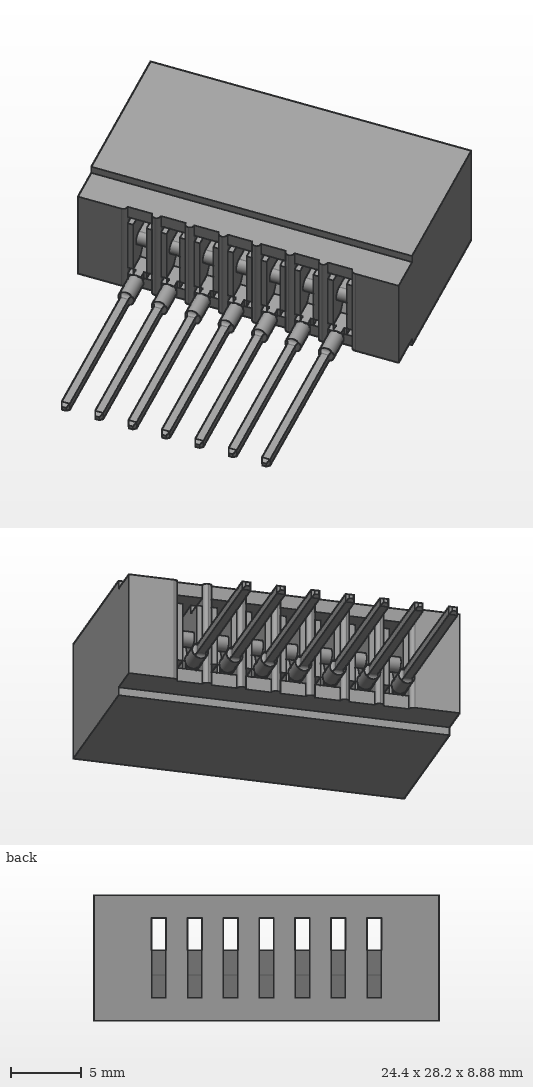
import cadquery as cq
import math


CONTACT_COUNT = 7
PITCH = 2.55
TAIL_Z = -2.5

WIDTH = 24.38
HEIGHT = 8.88
BODY_DEPTH = 11.4
NOSE_DEPTH = 2.57
NOSE_HEIGHT = 7.67
HOUSING_DEPTH = BODY_DEPTH + NOSE_DEPTH

RIB_RADIUS = 0.35
GROOVE_WIDTH = PITCH - 2 * RIB_RADIUS

CAVITY_WIDTH = 1.01
CAVITY_HEIGHT = 5.65
NOTCH_HEIGHT = 0.62
NOTCH_DEPTH = 1.4

TOTAL_DEPTH = 28.2
TAIL_SIZE = 0.62
TIP_LENGTH = 0.35
TIP_TAPER_DEG = 25
TAIL_END = HOUSING_DEPTH - TOTAL_DEPTH
TIP_START = TAIL_END + TIP_LENGTH

COLLAR_RADIUS = 0.6
COLLAR_CENTER_Y = -1.38
COLLAR_LENGTH = 1.85
FLARE_LENGTH = 0.35
FLARE_MIDDLE = 0.3

SPRING_THICKNESS = 0.28
RISE_Y = 1.7
BEND_Y = 2.4
BEND_Z = -1.18
ARM_Y = 3.1
ROLL_RADIUS = 0.55
ROLL_Y = 1.45

CONTACT_XS = [(i - (CONTACT_COUNT - 1) / 2) * PITCH for i in range(CONTACT_COUNT)]


def box(width, y_start, y_end, height, x=0.0, z=0.0):
    """Box centred on (x, z) between two Y positions."""
    return cq.Workplane("XY").box(width, y_end - y_start, height).translate((x, (y_start + y_end) / 2, z))


def groove_cutter(x):
    """Groove over the nose height whose mouth is rounded to the rib radius on both sides."""
    half_floor = GROOVE_WIDTH / 2
    half_mouth = PITCH / 2
    arc_offset = RIB_RADIUS * math.sin(math.radians(45))
    arc_x = half_mouth - arc_offset
    arc_y = RIB_RADIUS - arc_offset
    return (
        cq.Workplane("XY", origin=(x, 0, -NOSE_HEIGHT / 2))
        .moveTo(-half_mouth, 0)
        .threePointArc((-arc_x, arc_y), (-half_floor, RIB_RADIUS))
        .lineTo(half_floor, RIB_RADIUS)
        .threePointArc((arc_x, arc_y), (half_mouth, 0))
        .close()
        .extrude(NOSE_HEIGHT)
    )


def cavity_cutter(x):
    """Through cavity with a groove-wide notch at its top and bottom."""
    cutter = box(CAVITY_WIDTH, 0, HOUSING_DEPTH, CAVITY_HEIGHT, x)
    notch_z = (CAVITY_HEIGHT - NOTCH_HEIGHT) / 2
    for z in (notch_z, -notch_z):
        notch = box(GROOVE_WIDTH, RIB_RADIUS, RIB_RADIUS + NOTCH_DEPTH, NOTCH_HEIGHT, x, z)
        cutter = cutter.union(notch)
    return cutter


def make_housing():
    """Block with a stepped nose, grooved and pierced at every contact."""
    body = box(WIDTH, NOSE_DEPTH, HOUSING_DEPTH, HEIGHT)
    nose = box(WIDTH, 0, NOSE_DEPTH, NOSE_HEIGHT)
    solid = body.union(nose)
    for x in CONTACT_XS:
        solid = solid.cut(groove_cutter(x), clean=False)
        solid = solid.cut(cavity_cutter(x), clean=False)
    return solid


def flared_prism(plane):
    """Prism whose outline flares from the tail width to the collar width and back."""
    half_tail = TAIL_SIZE / 2
    half_length = COLLAR_LENGTH / 2
    end = half_length + FLARE_LENGTH
    arc_half_width = half_tail + FLARE_MIDDLE * (COLLAR_RADIUS - half_tail)
    arc_end = half_length + FLARE_MIDDLE * FLARE_LENGTH
    return (
        cq.Workplane(plane)
        .moveTo(end, half_tail)
        .threePointArc((arc_end, arc_half_width), (half_length, COLLAR_RADIUS))
        .lineTo(-half_length, COLLAR_RADIUS)
        .threePointArc((-arc_end, arc_half_width), (-end, half_tail))
        .lineTo(-end, -half_tail)
        .threePointArc((-arc_end, -arc_half_width), (-half_length, -COLLAR_RADIUS))
        .lineTo(half_length, -COLLAR_RADIUS)
        .threePointArc((arc_end, -arc_half_width), (end, -half_tail))
        .close()
        .extrude(COLLAR_RADIUS, both=True)
    )


def make_collar(x):
    """Round collar whose ends flare down to the four flats of the tail."""
    half_total = COLLAR_LENGTH / 2 + FLARE_LENGTH
    cylinder = cq.Workplane("XZ").circle(COLLAR_RADIUS).extrude(half_total, both=True)
    collar = cylinder.intersect(flared_prism("YX")).intersect(flared_prism("YZ"))
    return collar.translate((x, COLLAR_CENTER_Y, TAIL_Z))


def make_tail(x):
    """Square tail with a tapered tip and a round collar."""
    shank = box(TAIL_SIZE, TIP_START, RISE_Y, TAIL_SIZE, x, TAIL_Z)
    tip = (
        cq.Workplane("XZ", origin=(x, TIP_START, TAIL_Z))
        .rect(TAIL_SIZE, TAIL_SIZE)
        .extrude(TIP_LENGTH, taper=TIP_TAPER_DEG)
    )
    return shank.union(tip).union(make_collar(x))


def make_spring(x):
    """Strip as wide as the cavity: a foot, a bent rise, and an arm back to a roll near the front."""
    foot_top = TAIL_Z + TAIL_SIZE / 2
    foot_bottom = TAIL_Z - TAIL_SIZE / 2
    plane = cq.Workplane("YZ", origin=(x - CAVITY_WIDTH / 2, 0, 0))
    strip = (
        plane.moveTo(RIB_RADIUS, foot_bottom)
        .lineTo(RIB_RADIUS, foot_top)
        .lineTo(RISE_Y, foot_top)
        .lineTo(BEND_Y, BEND_Z)
        .lineTo(ARM_Y, ROLL_RADIUS - SPRING_THICKNESS)
        .lineTo(ROLL_Y, ROLL_RADIUS - SPRING_THICKNESS)
        .lineTo(ROLL_Y, ROLL_RADIUS)
        .lineTo(ARM_Y + SPRING_THICKNESS, ROLL_RADIUS)
        .lineTo(BEND_Y + SPRING_THICKNESS, BEND_Z)
        .lineTo(RISE_Y + SPRING_THICKNESS, foot_bottom)
        .close()
        .extrude(CAVITY_WIDTH)
    )
    roll = plane.center(ROLL_Y, 0).circle(ROLL_RADIUS).extrude(CAVITY_WIDTH)
    return strip.union(roll)


def make_contact(x):
    return make_tail(x).union(make_spring(x))


housing = make_housing()
contacts = [make_contact(x).val() for x in CONTACT_XS]
result = cq.Compound.makeCompound([housing.val(), *contacts])